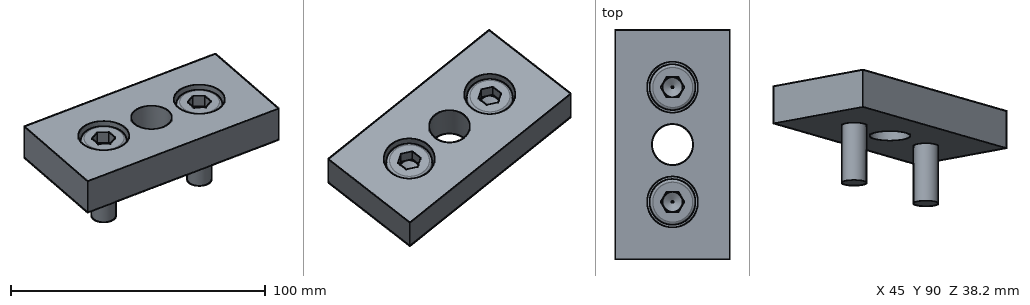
import cadquery as cq
import math

plate_width = 45.0
plate_length = 90.0
plate_thickness = 15.0
center_hole_diameter = 16.0

overall_height = 38.2
screw_spacing = plate_length / 2
shank_diameter = 9.8
shank_length = 30.0
head_diameter = 18.0
head_height = 7.0
head_fillet = 1.2

socket_across_flats = 8.0
socket_depth = 5.0
cone_diameter = 7.8
cone_tip_diameter = 0.8
cone_angle = 120.0

recess_diameter = 20.0

shank_bottom = -overall_height
seat_level = shank_bottom + shank_length
head_top = seat_level + head_height
screw_positions = [(0, -screw_spacing / 2), (0, screw_spacing / 2)]


def make_plate():
    """Rectangular plate with a central hole and two counterbored screw holes."""
    block = cq.Workplane("XY").box(
        plate_width, plate_length, plate_thickness, centered=(True, True, False)
    ).translate((0, 0, -plate_thickness))
    drilled = block.faces(">Z").workplane().hole(center_hole_diameter)
    return (
        drilled.faces(">Z").workplane(origin=(0, 0, 0))
        .pushPoints(screw_positions)
        .cboreHole(shank_diameter, recess_diameter, -seat_level)
    )


def make_socket():
    """Solid in the shape of the hexagonal socket and the cone below it."""
    across_corners = socket_across_flats / math.cos(math.pi / 6)
    socket_floor = head_top - socket_depth
    hexagon = (
        cq.Workplane("XY", origin=(0, 0, socket_floor))
        .polygon(6, across_corners)
        .extrude(socket_depth)
    )
    cone_radius = cone_diameter / 2
    tip_radius = cone_tip_diameter / 2
    cone_depth = (cone_radius - tip_radius) / math.tan(math.radians(cone_angle / 2))
    cone = cq.Workplane(
        cq.Solid.makeCone(
            cone_radius, tip_radius, cone_depth, cq.Vector(0, 0, socket_floor), cq.Vector(0, 0, -1)
        )
    )
    return hexagon.union(cone)


def make_screw(x, y):
    """Cap screw with a rounded head rim, its axis at the given X and Y."""
    head = (
        cq.Workplane("XY", origin=(0, 0, seat_level))
        .circle(head_diameter / 2)
        .extrude(head_height)
        .faces(">Z").edges().fillet(head_fillet)
    )
    shank = (
        cq.Workplane("XY", origin=(0, 0, shank_bottom))
        .circle(shank_diameter / 2)
        .extrude(shank_length)
    )
    return head.union(shank).cut(make_socket()).translate((x, y, 0))


plate = make_plate()
screws = [make_screw(x, y) for x, y in screw_positions]

result = cq.Compound.makeCompound([plate.val(), *[screw.val() for screw in screws]])